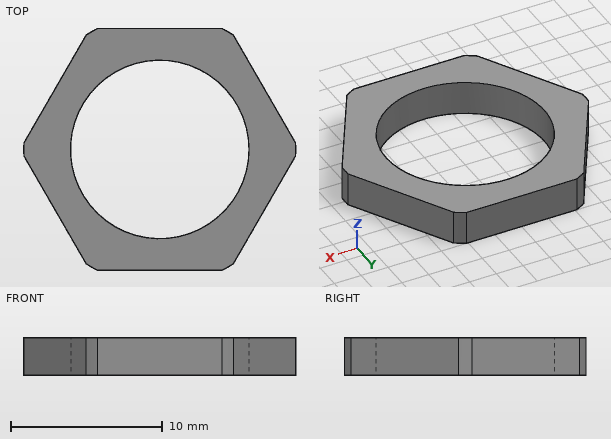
import cadquery as cq
import math

corner_diameter = 18.0
across_flats = 16.0
thickness = 2.5
bore_diameter = 11.79

sharp_corner_diameter = across_flats / math.cos(math.pi / 6)
hexagon = cq.Workplane("XY").polygon(6, sharp_corner_diameter).extrude(thickness)

corner_trim = cq.Workplane("XY").circle(corner_diameter / 2).extrude(thickness)

bore = cq.Workplane("XY").circle(bore_diameter / 2).extrude(thickness)

result = hexagon.intersect(corner_trim).cut(bore)